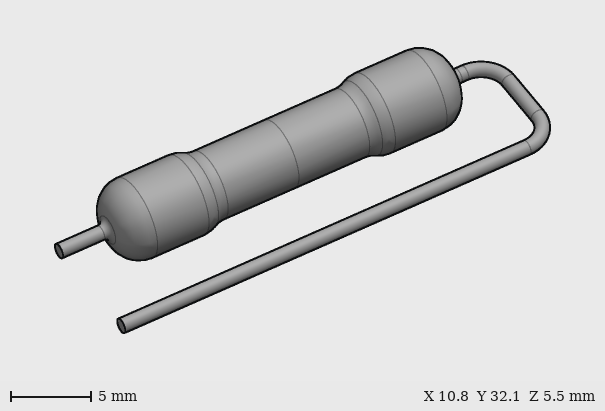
import cadquery as cq
import math

total_length = 32.1
wire_diameter = 1.0
lead_spacing = 7.5
bend_radius = 2.0
body_center_y = 16.08
cap_diameter = 5.5
barrel_diameter = 4.7
cap_outer_half = 10.55
cap_inner_half = 6.8
barrel_half = 5.17
dome_radius = 2.0
neck_radius = 0.5

wire_r = wire_diameter / 2
cap_r = cap_diameter / 2
barrel_r = barrel_diameter / 2

dome_center_r = cap_r - dome_radius
neck_center_r = wire_r + neck_radius
centers_distance = dome_radius + neck_radius
neck_angle = math.acos((neck_center_r - dome_center_r) / centers_distance)
neck_half = cap_outer_half + centers_distance * math.sin(neck_angle)

shoulder_rise = cap_r - barrel_r
shoulder_length = cap_inner_half - barrel_half
shoulder_radius = (shoulder_rise**2 + shoulder_length**2) / (4 * shoulder_rise)
shoulder_mid = ((cap_r + barrel_r) / 2, (cap_inner_half + barrel_half) / 2)
shoulder_half_angle = math.asin(shoulder_length / (2 * shoulder_radius)) / 2


def arc_point(center, radius, angle):
    return (center[0] + radius * math.cos(angle), center[1] + radius * math.sin(angle))


def half_body():
    """Body of revolution from the middle plane to the +Y neck, based at Y = 0."""
    dome_center = (dome_center_r, cap_outer_half)
    neck_center = (neck_center_r, neck_half)
    barrel_arc_center = (barrel_r + shoulder_radius, barrel_half)
    cap_arc_center = (cap_r - shoulder_radius, cap_inner_half)
    profile = (
        cq.Workplane("XY")
        .lineTo(barrel_r, 0)
        .lineTo(barrel_r, barrel_half)
        .threePointArc(
            arc_point(barrel_arc_center, shoulder_radius, math.pi - shoulder_half_angle),
            shoulder_mid,
        )
        .threePointArc(
            arc_point(cap_arc_center, shoulder_radius, -shoulder_half_angle),
            (cap_r, cap_inner_half),
        )
        .lineTo(cap_r, cap_outer_half)
        .threePointArc(
            arc_point(dome_center, dome_radius, neck_angle / 2),
            arc_point(dome_center, dome_radius, neck_angle),
        )
        .threePointArc(
            arc_point(neck_center, neck_radius, math.pi + neck_angle / 2),
            (wire_r, neck_half),
        )
        .lineTo(0, neck_half)
        .close()
    )
    return profile.revolve(360, (0, 0), (0, 1))


def body():
    upper_half = half_body()
    lower_half = upper_half.mirror("XZ")
    return upper_half.union(lower_half).translate((0, body_center_y, 0))


def wire():
    """One continuous wire through the body, bent back beside it."""
    top_y = total_length - wire_r
    bend_y = top_y - bend_radius
    first_center = (bend_radius, bend_y)
    second_center = (lead_spacing - bend_radius, bend_y)
    path = (
        cq.Workplane("XY")
        .lineTo(0, bend_y)
        .threePointArc(
            arc_point(first_center, bend_radius, math.radians(135)), (bend_radius, top_y)
        )
        .lineTo(lead_spacing - bend_radius, top_y)
        .threePointArc(
            arc_point(second_center, bend_radius, math.radians(45)), (lead_spacing, bend_y)
        )
        .lineTo(lead_spacing, 0)
    )
    return cq.Workplane("XZ").circle(wire_r).sweep(path)


result = body().union(wire())